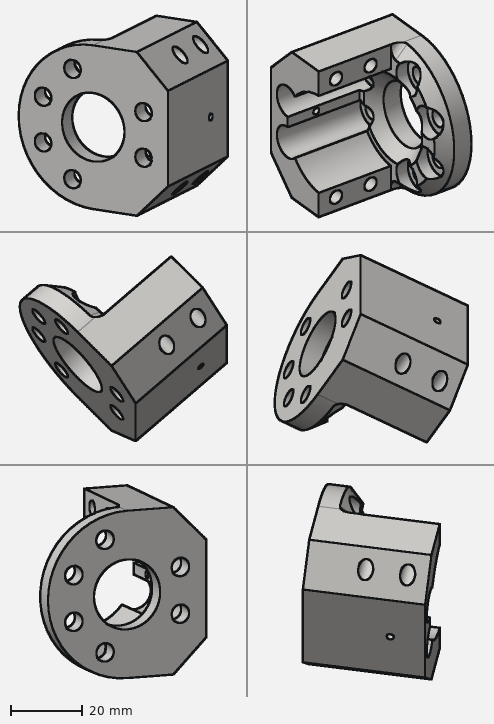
import cadquery as cq
import math

DIAMETER = 48.0
RADIUS = DIAMETER / 2
LENGTH = 35.0
FLANGE_THICKNESS = 10.0
RIM_THICKNESS = 6.0
BEVEL = FLANGE_THICKNESS - RIM_THICKNESS
BEVEL_FILLET = 2.5
CORNER_CHAMFER = 10.0
BLOCK_FACE_X = 1.0

SHAFT_HOLE_DIAMETER = 20.0
BLOCK_BORE_DIAMETER = 32.0

BOLT_CIRCLE_RADIUS = 17.45
BOLT_HOLE_DIAMETER = 5.3
COUNTERBORE_DIAMETER = 10.0
COUNTERBORE_FLOOR_Y = RIM_THICKNESS
BOLT_ANGLES = [22.5, 112.5, 157.5, 202.5, 247.5, 337.5]

CLAMP_HOLE_DIAMETER = 4.2
CLAMP_HOLE_Z = 19.5
CLAMP_HOLE_YS = [17.0, 29.0]
PIN_HOLE_DIAMETER = 2.0
PIN_HOLE_Y = 25.0


def cylinder_y(diameter, start_y, end_y, x=0, z=0):
    """Cylinder parallel to Y between two stations."""
    return cq.Workplane(cq.Solid.makeCylinder(
        diameter / 2, end_y - start_y, cq.Vector(x, start_y, z), cq.Vector(0, 1, 0)))


def cylinder_x(diameter, y, z):
    """Cylinder parallel to X that spans the whole part."""
    return cq.Workplane(cq.Solid.makeCylinder(
        diameter / 2, DIAMETER, cq.Vector(-RADIUS, y, z), cq.Vector(1, 0, 0)))


def outer_body():
    """D-shaped profile with two cut corners, extruded over the full length."""
    corner = RADIUS - CORNER_CHAMFER
    return (
        cq.Workplane("XZ")
        .moveTo(0, RADIUS)
        .lineTo(corner, RADIUS)
        .lineTo(RADIUS, corner)
        .lineTo(RADIUS, -corner)
        .lineTo(corner, -RADIUS)
        .lineTo(0, -RADIUS)
        .threePointArc((-RADIUS, 0), (0, RADIUS))
        .close()
        .extrude(-LENGTH)
    )


def space_beside_block(start_y, end_y):
    """Everything left of the block face between two stations along Y."""
    return (
        cq.Workplane("XY")
        .box(DIAMETER, end_y - start_y, 2 * DIAMETER, centered=(False, False, True))
        .translate((BLOCK_FACE_X - DIAMETER, start_y, 0))
    )


def cone_y(start_radius, end_radius, start_y):
    """Cone around the flange axis with sides at 45 degrees to it."""
    return cq.Workplane(cq.Solid.makeCone(
        start_radius, end_radius, abs(end_radius - start_radius),
        cq.Vector(0, start_y, 0), cq.Vector(0, 1, 0)))


def flange_bevel():
    """Cutter for the conical bevel, rounded where it runs into the block face."""
    start_y = RIM_THICKNESS - BEVEL
    end_y = FLANGE_THICKNESS + BEVEL
    cone = cone_y(RADIUS + BEVEL, RADIUS - 2 * BEVEL, start_y)
    on_block_face = cq.selectors.BoxSelector(
        (BLOCK_FACE_X - 0.5, start_y + 0.5, -DIAMETER / 2 - BEVEL),
        (BLOCK_FACE_X + 0.5, end_y - 0.5, DIAMETER / 2 + BEVEL))
    cutter = space_beside_block(start_y, end_y).cut(cone)
    cutter = cutter.edges(on_block_face).fillet(BEVEL_FILLET)
    return cutter.intersect(space_beside_block(RIM_THICKNESS, FLANGE_THICKNESS))


result = outer_body()
result = result.cut(space_beside_block(FLANGE_THICKNESS, LENGTH))
result = result.cut(flange_bevel())

result = result.cut(cylinder_y(SHAFT_HOLE_DIAMETER, 0, LENGTH))
result = result.cut(cone_y(SHAFT_HOLE_DIAMETER / 2, SHAFT_HOLE_DIAMETER / 2 + BEVEL, RIM_THICKNESS))
result = result.cut(cylinder_y(BLOCK_BORE_DIAMETER, FLANGE_THICKNESS, LENGTH))

for angle in BOLT_ANGLES:
    bolt_x = BOLT_CIRCLE_RADIUS * math.cos(math.radians(angle))
    bolt_z = BOLT_CIRCLE_RADIUS * math.sin(math.radians(angle))
    result = result.cut(cylinder_y(BOLT_HOLE_DIAMETER, 0, LENGTH, bolt_x, bolt_z))
    result = result.cut(
        cylinder_y(COUNTERBORE_DIAMETER, COUNTERBORE_FLOOR_Y, LENGTH, bolt_x, bolt_z))

for hole_y in CLAMP_HOLE_YS:
    for hole_z in (-CLAMP_HOLE_Z, CLAMP_HOLE_Z):
        result = result.cut(cylinder_x(CLAMP_HOLE_DIAMETER, hole_y, hole_z))

pin_hole = cylinder_x(PIN_HOLE_DIAMETER, PIN_HOLE_Y, 0)
result = result.cut(pin_hole)